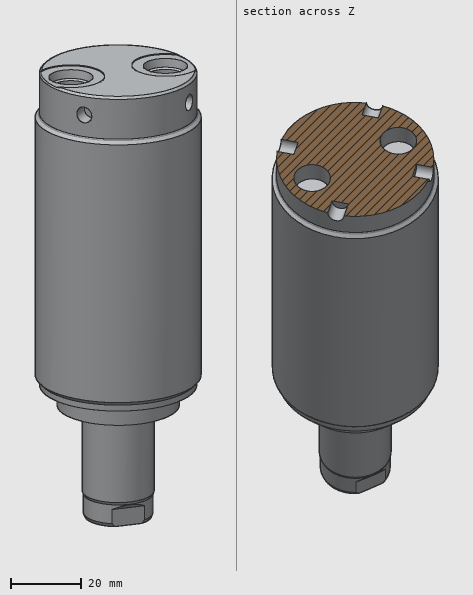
import cadquery as cq
total_height = 134.75
body_diameter = 47.4

collar_end_depth = 12.75
body_end_depth = 93.3
lower_rim_end_depth = 95.1
flange_end_depth = 101.2
shaft_end_depth = 127.2

collar_diameter = 45.0
lower_rim_diameter = collar_diameter
flange_diameter = 35.0
shaft_diameter = 20.6
tip_diameter = 20.0

collar_chamfer = 0.7
shoulder_lead_radial = 0.25
shoulder_lead_drop = 0.35
shoulder_chamfer = (body_diameter - collar_diameter) / 2 - shoulder_lead_radial
rim_chamfer = (body_diameter - lower_rim_diameter) / 2
tip_taper_length = 0.8
tip_chamfer_radial = 0.4
tip_chamfer_length = 1.0

across_flats = 17.4
flat_height = 5.3

port_offset = 14.3
spotface_diameter = 19.2
spotface_depth = 0.3
seat_top_diameter = 12.6
seat_bottom_diameter = 11.8
seat_depth = 2.8
seat_ledge_drop = 0.4
port_diameter = 10.3
port_depth = 12.0

spanner_hole_count = 4
spanner_hole_start_angle = 45.0
spanner_hole_diameter = 4.7
spanner_hole_drop = 6.2
spanner_hole_depth = 5.0


def make_turned_body():
    """Revolve the half profile, traced from the top face down to the tip."""
    collar_radius = collar_diameter / 2
    body_radius = body_diameter / 2
    rim_radius = lower_rim_diameter / 2
    flange_radius = flange_diameter / 2
    shaft_radius = shaft_diameter / 2
    tip_radius = tip_diameter / 2

    collar_end = total_height - collar_end_depth
    shoulder_start = collar_end - shoulder_lead_drop
    body_end = total_height - body_end_depth
    rim_end = total_height - lower_rim_end_depth
    flange_end = total_height - flange_end_depth
    shaft_end = total_height - shaft_end_depth

    profile = (
        cq.Workplane("XZ")
        .moveTo(0, total_height)
        .lineTo(collar_radius - collar_chamfer, total_height)
        .lineTo(collar_radius, total_height - collar_chamfer)
        .lineTo(collar_radius, collar_end)
        .lineTo(body_radius - shoulder_chamfer, shoulder_start)
        .lineTo(body_radius, shoulder_start - shoulder_chamfer)
        .lineTo(body_radius, body_end + rim_chamfer)
        .lineTo(rim_radius, body_end)
        .lineTo(rim_radius, rim_end)
        .lineTo(flange_radius, rim_end)
        .lineTo(flange_radius, flange_end)
        .lineTo(shaft_radius, flange_end)
        .lineTo(shaft_radius, shaft_end)
        .lineTo(tip_radius, shaft_end - tip_taper_length)
        .lineTo(tip_radius, tip_chamfer_length)
        .lineTo(tip_radius - tip_chamfer_radial, 0)
        .lineTo(0, 0)
        .close()
    )
    return profile.revolve(360, (0, 0, 0), (0, 1, 0))


def make_flat_cutter(side):
    """Wedge that leaves a flat facing side * X, with a 45 degree run-out above it."""
    inner = across_flats / 2
    reach = shaft_diameter / 2 - inner
    return (
        cq.Workplane("XZ")
        .moveTo(side * inner, 0)
        .lineTo(side * inner, flat_height)
        .lineTo(side * (inner + reach), flat_height + reach)
        .lineTo(side * (inner + reach), 0)
        .close()
        .extrude(shaft_diameter / 2, both=True)
    )


def make_port_cutter(side):
    """Stepped port: shallow spotface, tapered seal seat, sloped ledge and blind bore."""
    spotface_level = total_height - spotface_depth
    seat_level = total_height - seat_depth
    profile = (
        cq.Workplane("XZ")
        .moveTo(0, total_height)
        .lineTo(spotface_diameter / 2, total_height)
        .lineTo(spotface_diameter / 2, spotface_level)
        .lineTo(seat_top_diameter / 2, spotface_level)
        .lineTo(seat_bottom_diameter / 2, seat_level)
        .lineTo(port_diameter / 2, seat_level - seat_ledge_drop)
        .lineTo(port_diameter / 2, total_height - port_depth)
        .lineTo(0, total_height - port_depth)
        .close()
    )
    cutter = profile.revolve(360, (0, 0, 0), (0, 1, 0))
    return cutter.translate((0, side * port_offset, 0))


def make_spanner_hole_cutter(angle):
    """Blind radial hole entering the collar wall at the given angle about Z."""
    hole_start = collar_diameter / 2 - spanner_hole_depth
    return (
        cq.Workplane("YZ", origin=(hole_start, 0, total_height - spanner_hole_drop))
        .circle(spanner_hole_diameter / 2)
        .extrude(body_diameter / 2 - hole_start)
        .rotate((0, 0, 0), (0, 0, 1), angle)
    )


result = make_turned_body()

for side in (-1, 1):
    result = result.cut(make_flat_cutter(side))
    result = result.cut(make_port_cutter(side))

for index in range(spanner_hole_count):
    hole_angle = spanner_hole_start_angle + index * 360 / spanner_hole_count
    result = result.cut(make_spanner_hole_cutter(hole_angle))